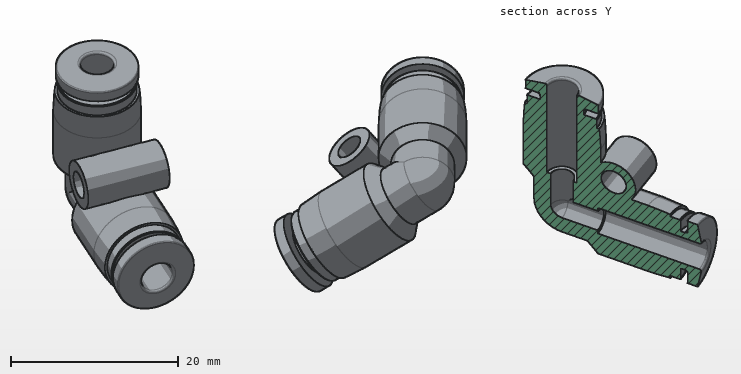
import cadquery as cq
import math


body_diameter = 10.5
elbow_diameter = 7.62
taper_end_diameter = 10.12
sleeve_diameter = 9.5
neck_diameter = 5.98
cap_diameter = 9.9
tube_bore_diameter = 3.98
passage_diameter = 3.0

arm_end = 24.1 - body_diameter / 2
shoulder_start = 3.42
shoulder_end = 4.87
taper_start = 11.62
taper_end = 14.65
sleeve_end = 16.05
cap_start = 16.92
tube_stop = shoulder_end

sleeve_chamfer = 0.12
neck_flare_length = 0.3
neck_flare_width = 0.15
cap_edge_radius = 0.15
cap_rim_drop = 0.5
mouth_radius = 0.31

eyelet_offset = 7.0
eyelet_diameter = 5.98
eyelet_hole_diameter = 3.3
eyelet_length = body_diameter


def rotate_to_x(arm):
    """Swing a shape lying along +Z onto +X."""
    return arm.rotate((0, 0, 0), (0, 1, 0), 90)


def taper_mid_point():
    """Middle of the arc that leaves the body tangentially and narrows to the taper end."""
    length = taper_end - taper_start
    drop = (body_diameter - taper_end_diameter) / 2
    radius = (length**2 + drop**2) / (2 * drop)
    half_angle = math.asin(length / radius) / 2
    return (
        body_diameter / 2 - radius * (1 - math.cos(half_angle)),
        taper_start + radius * math.sin(half_angle),
    )


def make_arm():
    """Solid outside of one arm, as a profile turned about Z."""
    sleeve_radius = sleeve_diameter / 2
    neck_radius = neck_diameter / 2
    cap_radius = cap_diameter / 2
    mouth_edge = tube_bore_diameter / 2 + mouth_radius
    profile = (
        cq.Workplane("XZ")
        .lineTo(elbow_diameter / 2, 0)
        .lineTo(elbow_diameter / 2, shoulder_start)
        .lineTo(body_diameter / 2, shoulder_end)
        .lineTo(body_diameter / 2, taper_start)
        .threePointArc(taper_mid_point(), (taper_end_diameter / 2, taper_end))
        .lineTo(sleeve_radius, taper_end)
        .lineTo(sleeve_radius, sleeve_end - sleeve_chamfer)
        .lineTo(sleeve_radius - sleeve_chamfer, sleeve_end)
        .lineTo(neck_radius, sleeve_end)
        .lineTo(neck_radius, cap_start - neck_flare_length)
        .lineTo(neck_radius + neck_flare_width, cap_start)
        .lineTo(cap_radius, cap_start)
        .lineTo(cap_radius, arm_end - cap_rim_drop)
        .lineTo(mouth_edge, arm_end)
        .lineTo(0, arm_end)
        .close()
    )
    arm = profile.revolve(360, (0, 0, 0), (0, 1, 0))
    rim = cq.selectors.BoxSelector(
        (-cap_diameter, -cap_diameter, arm_end - cap_rim_drop - 0.02),
        (cap_diameter, cap_diameter, arm_end - cap_rim_drop + 0.02),
    )
    return arm.edges(rim).fillet(cap_edge_radius)


def make_arm_bore():
    """Stepped bore of one arm with a rounded mouth."""
    tube_radius = tube_bore_diameter / 2
    arc_offset = mouth_radius * (1 - math.sqrt(0.5))
    return (
        cq.Workplane("XZ")
        .lineTo(passage_diameter / 2, 0)
        .lineTo(passage_diameter / 2, tube_stop)
        .lineTo(tube_radius, tube_stop)
        .lineTo(tube_radius, arm_end - mouth_radius)
        .threePointArc(
            (tube_radius + arc_offset, arm_end - arc_offset),
            (tube_radius + mouth_radius, arm_end),
        )
        .lineTo(0, arm_end)
        .close()
        .revolve(360, (0, 0, 0), (0, 1, 0))
    )


def eyelet_cylinder(diameter):
    """Cylinder along Y on the eyelet axis, centred on the plane of the arms."""
    return (
        cq.Workplane("XZ", origin=(0, eyelet_length / 2, 0))
        .center(eyelet_offset, eyelet_offset)
        .circle(diameter / 2)
        .extrude(eyelet_length)
    )


arm = make_arm()
bore = make_arm_bore()
corner = cq.Workplane("XY").sphere(elbow_diameter / 2)
passage_corner = cq.Workplane("XY").sphere(passage_diameter / 2)

body = arm.union(rotate_to_x(arm)).union(corner)
body = body.union(eyelet_cylinder(eyelet_diameter))
body = body.cut(eyelet_cylinder(eyelet_hole_diameter))
result = body.cut(bore).cut(rotate_to_x(bore)).cut(passage_corner)